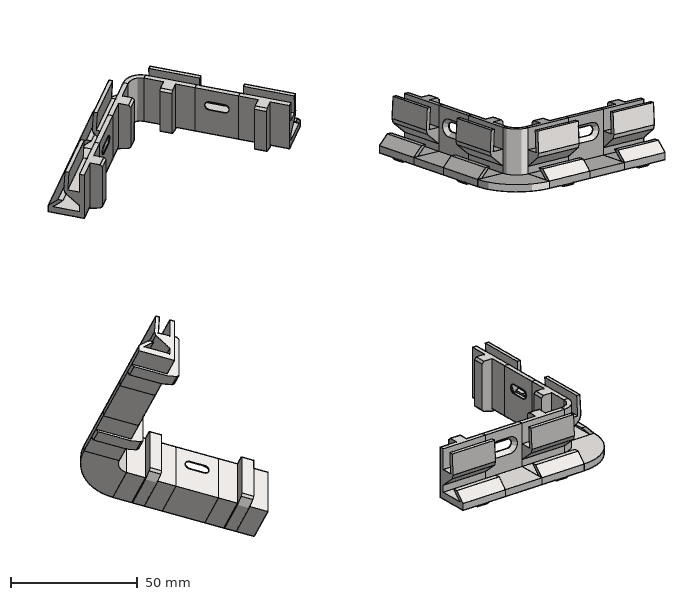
import cadquery as cq

corner_size = 20.0
clip_length = 21.0
center_length = 18.0
x_arm_offset = 0.1

wall_outer = 13.0
wall_thickness = 2.0
wall_inner = wall_outer + wall_thickness
plate_thickness = 3.05
wall_height = 22.0

lip_width = 2.1
lip_rise = 4.1

slot_floor = 13.0
hook_outer_top = 7.05
hook_inner_top = 8.65
hook_outer_base = 6.5
hook_inner_base = 8.2
hook_bend = 11.1
hook_root = 6.1

rib_width = 5.0
rib_inner = corner_size
rib_chamfer = 1.0
rib_depth = 1.05

hole_height = 14.0
hole_straight = 6.0
hole_radius = 2.0
countersink_radius = 3.7
hole_land = 0.3

center_start = corner_size + clip_length
outer_clip_start = center_start + center_length


def along_arm(distance):
    """Cross-section plane: local x points inward, local y up, extrusion runs along the arm."""
    return cq.Workplane("XZ", origin=(0, -distance, 0))


def angle_outline(start):
    """Closed outline of the plate and the wall."""
    return (
        along_arm(start)
        .moveTo(0, 0)
        .lineTo(wall_inner, 0)
        .lineTo(wall_inner, wall_height)
        .lineTo(wall_outer, wall_height)
        .lineTo(wall_outer, plate_thickness)
        .lineTo(0, plate_thickness)
        .close()
    )


def lip(start):
    lip_top = plate_thickness + lip_rise
    return (
        along_arm(start)
        .moveTo(0, plate_thickness)
        .lineTo(lip_width, plate_thickness)
        .lineTo(lip_rise + lip_width, lip_top)
        .lineTo(lip_rise, lip_top)
        .close()
        .extrude(clip_length)
    )


def hook(start):
    return (
        along_arm(start)
        .moveTo(wall_outer, hook_root)
        .lineTo(wall_outer, slot_floor)
        .lineTo(hook_inner_base, slot_floor)
        .lineTo(hook_inner_top, wall_height)
        .lineTo(hook_outer_top, wall_height)
        .lineTo(hook_outer_base, slot_floor)
        .lineTo(hook_outer_top, hook_bend)
        .close()
        .extrude(clip_length)
    )


def rib(start):
    """Rib centered on the clip: a strip under the plate that turns up along the wall."""
    rib_start = start + (clip_length - rib_width) / 2
    return (
        along_arm(rib_start)
        .moveTo(0, 0)
        .lineTo(rib_chamfer, -rib_depth)
        .lineTo(wall_inner, -rib_depth)
        .lineTo(rib_inner - rib_chamfer, 0)
        .lineTo(rib_inner, rib_chamfer)
        .lineTo(rib_inner, wall_height - rib_chamfer)
        .lineTo(rib_inner - rib_chamfer, wall_height)
        .lineTo(wall_inner, wall_height)
        .lineTo(wall_inner, 0)
        .close()
        .extrude(rib_width)
    )


def make_clip(start):
    body = angle_outline(start).extrude(clip_length)
    for attachment in (lip(start), hook(start), rib(start)):
        body = body.union(attachment)
    return body.val()


def slot_outline(inward, radius):
    """Slot across the wall in the middle of a center piece."""
    middle = center_start + center_length / 2
    return cq.Workplane("YZ", origin=(inward, -middle, hole_height)).slot2D(
        hole_straight + 2 * radius, 2 * radius
    )


def make_center_piece():
    through_hole = slot_outline(wall_outer, hole_radius).extrude(wall_thickness)
    countersink_depth = wall_thickness - hole_land
    countersink = (
        slot_outline(wall_outer, countersink_radius)
        .workplane(offset=countersink_depth)
        .slot2D(hole_straight + 2 * hole_radius, 2 * hole_radius)
        .loft(ruled=True)
    )
    body = angle_outline(center_start).extrude(center_length)
    return body.cut(through_hole).cut(countersink).val()


def make_corner():
    """Angle section turned a quarter turn about the vertical bend axis."""
    axis_start = (corner_size, 0)
    axis_end = (corner_size, -1)
    return angle_outline(corner_size).revolve(90, axis_start, axis_end).val()


def on_x_arm(body):
    """Mirror a body of the Y arm about the diagonal of the corner and set it proud."""
    return body.mirror((1, 1, 0)).translate(cq.Vector(0, x_arm_offset, 0))


corner = make_corner()
clip_starts = (corner_size, outer_clip_start)
y_arm = [make_clip(start) for start in clip_starts]
y_arm.append(make_center_piece())
x_arm = [on_x_arm(body) for body in y_arm]

result = cq.Compound.makeCompound([corner, *y_arm, *x_arm])